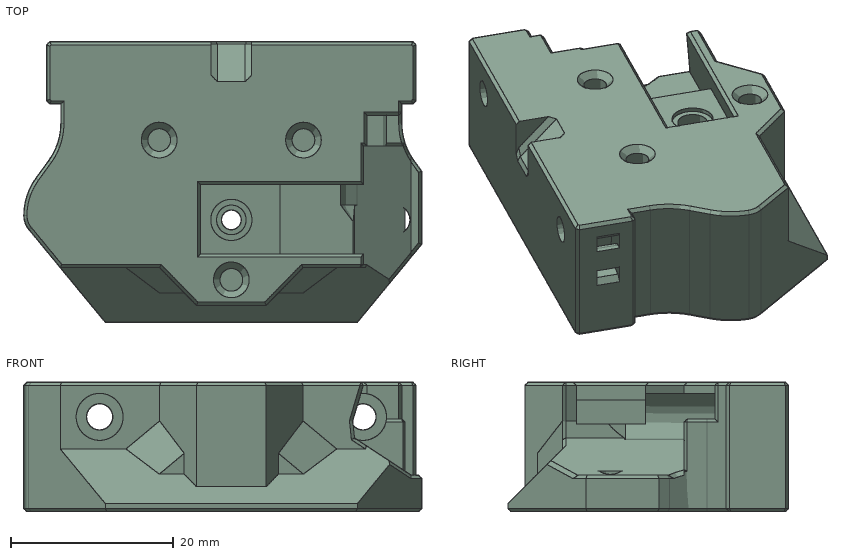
import cadquery as cq
import math

HEIGHT = 15.98
DEPTH = 34.64
FRONT_Y = -DEPTH
EDGE_CHAMFER = 0.4

BACK_HALF_WIDTH = 22.8
BACK_LENGTH = 7.7
NECK_HALF_WIDTH = 21.05
NECK_END_Y = -10.1
BELLY_HALF_WIDTH = 25.62
FLARE_RADIUS = 7.8
FLARE_ANGLE = math.radians(36.0)
CHIN_RADIUS = 2.7
CHIN_ANGLE = math.radians(39.5)
RIGHT_SIDE_X = 23.5

FRONT_WALL_Y = -27.9
FRONT_LIP_HEIGHT = 1.0
APRON_TOP_Z = FRONT_LIP_HEIGHT + FRONT_WALL_Y - FRONT_Y
BOSS_FRONT_Y = -32.55
BOSS_FRONT_HALF_WIDTH = 4.3
BOSS_BASE_HALF_WIDTH = 8.85
GUSSET_CREASE_Z = 11.2
GUSSET_WALL_HALF_WIDTH = 13.0
GUSSET_FRONT_Y = -31.0
GUSSET_TIP_Z = 7.2

RECESS_BACK_Y = -12.9
RECESS_TOP_X = 16.4
RECESS_WAIST = (14.98, 11.2)
RECESS_FOOT = (15.2, 9.1)
RECESS_LEDGE = (22.2, 4.5)
STEP_NOTCH_X = 16.75
STEP_NOTCH_BACK_Y = -9.1
STEP_NOTCH_FLOOR_Z = 11.45

POCKET_LEFT_X = -3.8
POCKET_STEP_X = 6.0
POCKET_BACK_Y = -17.65
POCKET_FRONT_Y = -26.2
POCKET_SHALLOW_Z = 13.8
POCKET_DEEP_Z = 10.8

BOLT_X = 16.25
BOLT_Z = 11.7
BOLT_DIAMETER = 3.2
BOLT_HEAD_DIAMETER = 5.8
BOLT_SEAT_Y = -7.0
RIGHT_BORE_END_Y = -20.15
RIGHT_BORE_CONE_LENGTH = 4.3

TOP_HOLE_X = 8.9
TOP_HOLE_Y = -12.15
BOSS_HOLE_Y = -29.4
TOP_HOLE_DIAMETER = 2.8
TOP_HOLE_SINK_DIAMETER = 4.4
TOP_HOLE_DEPTH = 8.0

PIVOT_Y = -22.0
PIVOT_THROUGH_DIAMETER = 2.4
PIVOT_BORE_DIAMETER = 3.65
PIVOT_RIM_DIAMETER = 5.08
PIVOT_RIM_DEPTH = 0.5
PIVOT_BORE_DEPTH = 8.0

UNDERSIDE_BORE_X = 20.2
UNDERSIDE_BORE_DIAMETER = 3.65
UNDERSIDE_BORE_DEPTH = 5.0

CHANNEL_HALF_WIDTH = 2.5
CHANNEL_LENGTH = 4.95
CHANNEL_CORNER = 0.8
TIE_BACK_Y = -2.7
TIE_FRONT_Y = -5.6
TIE_Z = 10.55
TIE_INNER_RADIUS = 1.4
TIE_OUTER_RADIUS = 2.85
TIE_FLARE = 0.7

MARGIN = 5.0


def box_between(x_range, y_range, z_range):
    """Axis-aligned box spanning the three ranges."""
    size = [high - low for low, high in (x_range, y_range, z_range)]
    return cq.Workplane("XY").box(*size, centered=False).translate((x_range[0], y_range[0], z_range[0]))


def prism_along_y(points, back_y, front_y):
    """Extrude an XZ outline from back_y forward to front_y."""
    return cq.Workplane("XZ", origin=(0, back_y, 0)).polyline(points).close().extrude(back_y - front_y)


def cylinder_along_y(x, z, diameter, back_y, front_y):
    return cq.Workplane("XZ", origin=(x, back_y, z)).circle(diameter / 2).extrude(back_y - front_y)


def vertical_cylinder(x, y, diameter, low_z, high_z):
    return cq.Workplane("XY", origin=(x, y, low_z)).circle(diameter / 2).extrude(high_z - low_z)


def flare_points():
    """Right-hand side curve: concave arc, tangent line, convex arc, chin arc (start, middle, end)."""
    drop = FLARE_RADIUS * math.sin(FLARE_ANGLE)
    spread = FLARE_RADIUS * (1 - math.cos(FLARE_ANGLE))
    half_drop = FLARE_RADIUS * math.sin(FLARE_ANGLE / 2)
    half_spread = FLARE_RADIUS * (1 - math.cos(FLARE_ANGLE / 2))
    line_width = BELLY_HALF_WIDTH - NECK_HALF_WIDTH - 2 * spread
    belly_y = NECK_END_Y - 2 * drop - line_width / math.tan(FLARE_ANGLE)

    def chin_point(angle):
        x = BELLY_HALF_WIDTH - CHIN_RADIUS * (1 - math.cos(angle))
        return (x, belly_y - CHIN_RADIUS * math.sin(angle))

    chin_end = chin_point(CHIN_ANGLE)
    front_half_width = chin_end[0] - (chin_end[1] - FRONT_Y) * math.tan(CHIN_ANGLE)
    return [
        (NECK_HALF_WIDTH, NECK_END_Y),
        (NECK_HALF_WIDTH + half_spread, NECK_END_Y - half_drop),
        (NECK_HALF_WIDTH + spread, NECK_END_Y - drop),
        (BELLY_HALF_WIDTH - spread, belly_y + drop),
        (BELLY_HALF_WIDTH - half_spread, belly_y + half_drop),
        (BELLY_HALF_WIDTH, belly_y),
        chin_point(CHIN_ANGLE / 2),
        chin_end,
        (front_half_width, FRONT_Y),
    ]


def make_block():
    """Extruded plan outline with the right side trimmed and the underside edge chamfered."""
    neck, arc_mid, arc_end, line_end, belly_mid, belly, chin_mid, chin_end, front = flare_points()
    half = (
        cq.Workplane("XY")
        .moveTo(0, 0)
        .lineTo(BACK_HALF_WIDTH - EDGE_CHAMFER, 0)
        .lineTo(BACK_HALF_WIDTH, -EDGE_CHAMFER)
        .lineTo(BACK_HALF_WIDTH, EDGE_CHAMFER - BACK_LENGTH)
        .lineTo(BACK_HALF_WIDTH - EDGE_CHAMFER, -BACK_LENGTH)
        .lineTo(NECK_HALF_WIDTH, -BACK_LENGTH)
        .lineTo(*neck)
        .threePointArc(arc_mid, arc_end)
        .lineTo(*line_end)
        .threePointArc(belly_mid, belly)
        .threePointArc(chin_mid, chin_end)
        .lineTo(*front)
        .lineTo(0, FRONT_Y)
        .close()
        .extrude(HEIGHT)
    )
    block = half.union(half.mirror("YZ")).clean()
    beyond_right = box_between(
        (RIGHT_SIDE_X, BELLY_HALF_WIDTH + MARGIN), (FRONT_Y, 0), (-MARGIN, HEIGHT + MARGIN)
    )
    block = block.cut(beyond_right)
    return block.faces("<Z").edges().chamfer(EDGE_CHAMFER)


def make_front_cutter():
    """Space above the apron, leaving the boss and the gussets in its inner corners."""
    side = [
        (FRONT_WALL_Y, APRON_TOP_Z),
        (FRONT_Y - MARGIN, APRON_TOP_Z + FRONT_Y - MARGIN - FRONT_WALL_Y),
        (FRONT_Y - MARGIN, HEIGHT + MARGIN),
        (FRONT_WALL_Y, HEIGHT + MARGIN),
    ]
    cutter = (
        cq.Workplane("YZ", origin=(-BELLY_HALF_WIDTH, 0, 0))
        .polyline(side)
        .close()
        .extrude(2 * BELLY_HALF_WIDTH)
    )
    boss = (
        cq.Workplane("XY")
        .polyline([
            (-BOSS_BASE_HALF_WIDTH, FRONT_WALL_Y),
            (-BOSS_FRONT_HALF_WIDTH, BOSS_FRONT_Y),
            (BOSS_FRONT_HALF_WIDTH, BOSS_FRONT_Y),
            (BOSS_BASE_HALF_WIDTH, FRONT_WALL_Y),
        ])
        .close()
        .extrude(HEIGHT + 2 * MARGIN)
    )
    gusset = make_gusset()
    return cutter.cut(boss).cut(gusset).cut(gusset.mirror("YZ"))


def make_gusset():
    """Right-hand corner block under a sloping plane through the crease, wall and boss corners."""
    crease = cq.Vector(BOSS_BASE_HALF_WIDTH, FRONT_WALL_Y, GUSSET_CREASE_Z)
    wall_corner = cq.Vector(GUSSET_WALL_HALF_WIDTH, FRONT_WALL_Y, APRON_TOP_Z)
    boss_flank = (BOSS_BASE_HALF_WIDTH - BOSS_FRONT_HALF_WIDTH) / (FRONT_WALL_Y - BOSS_FRONT_Y)
    tip_x = BOSS_BASE_HALF_WIDTH - boss_flank * (FRONT_WALL_Y - GUSSET_FRONT_Y)
    tip = cq.Vector(tip_x, GUSSET_FRONT_Y, GUSSET_TIP_Z)
    normal = (tip - crease).cross(wall_corner - crease)
    slope = cq.Plane(origin=crease, xDir=wall_corner - crease, normal=normal)
    reach = 2 * DEPTH
    above_slope = cq.Workplane(slope).rect(reach, reach).extrude(reach)
    corner = box_between((0, GUSSET_WALL_HALF_WIDTH), (GUSSET_FRONT_Y, FRONT_WALL_Y), (0, HEIGHT))
    return corner.cut(above_slope)


def make_recess_cutter():
    """Undercut side recess with a sloping floor, and the shallower notch behind it."""
    waist_lean = (RECESS_TOP_X - RECESS_WAIST[0]) / (HEIGHT - RECESS_WAIST[1])
    outer_x = BELLY_HALF_WIDTH + MARGIN
    profile = [
        (RECESS_TOP_X + waist_lean * MARGIN, HEIGHT + MARGIN),
        RECESS_WAIST,
        RECESS_FOOT,
        RECESS_LEDGE,
        (outer_x, RECESS_LEDGE[1]),
        (outer_x, HEIGHT + MARGIN),
    ]
    recess = prism_along_y(profile, RECESS_BACK_Y, FRONT_Y - MARGIN)
    notch = box_between(
        (STEP_NOTCH_X, outer_x),
        (RECESS_BACK_Y, STEP_NOTCH_BACK_Y),
        (STEP_NOTCH_FLOOR_Z, HEIGHT + MARGIN),
    )
    return recess.union(notch)


def make_pocket_cutter():
    """Two-level pocket opening into the side recess."""
    profile = [
        (POCKET_LEFT_X, HEIGHT + MARGIN),
        (POCKET_LEFT_X, POCKET_SHALLOW_Z),
        (POCKET_STEP_X, POCKET_SHALLOW_Z),
        (POCKET_STEP_X, POCKET_DEEP_Z),
        (RECESS_TOP_X + MARGIN, POCKET_DEEP_Z),
        (RECESS_TOP_X + MARGIN, HEIGHT + MARGIN),
    ]
    return prism_along_y(profile, POCKET_BACK_Y, POCKET_FRONT_Y)


def make_bolt_holes():
    """Lengthwise bolt holes; the left head bore is open at the front, the right one ends in a cone."""
    holes = cylinder_along_y(-BOLT_X, BOLT_Z, BOLT_HEAD_DIAMETER, BOLT_SEAT_Y, FRONT_Y)
    right_bore = cylinder_along_y(BOLT_X, BOLT_Z, BOLT_HEAD_DIAMETER, BOLT_SEAT_Y, RIGHT_BORE_END_Y)
    cone = cq.Solid.makeCone(
        BOLT_HEAD_DIAMETER / 2,
        0,
        RIGHT_BORE_CONE_LENGTH,
        pnt=cq.Vector(BOLT_X, RIGHT_BORE_END_Y, BOLT_Z),
        dir=cq.Vector(0, -1, 0),
    )
    holes = holes.union(right_bore).union(cq.Workplane(cone))
    for x in (-BOLT_X, BOLT_X):
        holes = holes.union(cylinder_along_y(x, BOLT_Z, BOLT_DIAMETER, MARGIN, BOLT_SEAT_Y))
    return holes


def make_top_hole(x, y):
    """Blind hole from the top with a 45-degree countersink."""
    sink_depth = (TOP_HOLE_SINK_DIAMETER - TOP_HOLE_DIAMETER) / 2
    hole = vertical_cylinder(x, y, TOP_HOLE_DIAMETER, HEIGHT - TOP_HOLE_DEPTH, HEIGHT)
    sink = cq.Solid.makeCone(
        TOP_HOLE_DIAMETER / 2,
        TOP_HOLE_SINK_DIAMETER / 2,
        sink_depth,
        pnt=cq.Vector(x, y, HEIGHT - sink_depth),
    )
    return hole.union(cq.Workplane(sink))


def make_pivot_hole():
    """Stepped hole through the shallow pocket floor."""
    top = POCKET_SHALLOW_Z
    rim = vertical_cylinder(0, PIVOT_Y, PIVOT_RIM_DIAMETER, top - PIVOT_RIM_DEPTH, top)
    bore = vertical_cylinder(0, PIVOT_Y, PIVOT_BORE_DIAMETER, top - PIVOT_BORE_DEPTH, top)
    through = vertical_cylinder(0, PIVOT_Y, PIVOT_THROUGH_DIAMETER, 0, top)
    return rim.union(bore).union(through)


def make_back_channel():
    """Channel running down at 45 degrees from the top to the back face, with beveled floor corners."""
    inner_half_width = CHANNEL_HALF_WIDTH - CHANNEL_CORNER
    mouth = [
        (-CHANNEL_HALF_WIDTH, MARGIN),
        (-CHANNEL_HALF_WIDTH, CHANNEL_CORNER - CHANNEL_LENGTH),
        (-inner_half_width, -CHANNEL_LENGTH),
        (inner_half_width, -CHANNEL_LENGTH),
        (CHANNEL_HALF_WIDTH, CHANNEL_CORNER - CHANNEL_LENGTH),
        (CHANNEL_HALF_WIDTH, MARGIN),
    ]
    outline = cq.Wire.makePolygon([cq.Vector(x, y, HEIGHT) for x, y in mouth], close=True)
    face = cq.Face.makeFromWires(outline)
    run = CHANNEL_LENGTH + MARGIN
    return cq.Workplane(cq.Solid.extrudeLinear(face, cq.Vector(0, run, -run)))


def make_tie_loop():
    """U-shaped passage that enters and leaves the left side of the back section through flared mouths."""
    side_x = -BACK_HALF_WIDTH
    bend_x = side_x + TIE_FLARE
    mouth_half_height = TIE_OUTER_RADIUS + TIE_FLARE
    width = TIE_BACK_Y - TIE_FRONT_Y
    plane = cq.Workplane("XZ", origin=(0, TIE_BACK_Y, TIE_Z))
    outer = (
        plane.moveTo(side_x, mouth_half_height)
        .lineTo(bend_x, TIE_OUTER_RADIUS)
        .threePointArc((bend_x + TIE_OUTER_RADIUS, 0), (bend_x, -TIE_OUTER_RADIUS))
        .lineTo(side_x, -mouth_half_height)
        .close()
        .extrude(width)
    )
    inner = (
        plane.moveTo(side_x, TIE_INNER_RADIUS)
        .lineTo(bend_x, TIE_INNER_RADIUS)
        .threePointArc((bend_x + TIE_INNER_RADIUS, 0), (bend_x, -TIE_INNER_RADIUS))
        .lineTo(side_x, -TIE_INNER_RADIUS)
        .close()
        .extrude(width)
    )
    return outer.cut(inner)


def edges_in_box(solid, x_range, y_range, z_range):
    """Edges whose centres lie inside the box."""
    low, high = zip(x_range, y_range, z_range)
    return solid.edges(cq.selectors.BoxSelector(low, high)).vals()


def make_floor_rim_cutter(block, start, end, limit_x):
    """Bevel where the recess floor through start and end (XZ) meets the outer sides of the block."""
    slope = (end[1] - start[1]) / (end[0] - start[0])
    far_left = -2 * BELLY_HALF_WIDTH
    far_right = 2 * BELLY_HALF_WIDTH
    left_z = start[1] + slope * (far_left - start[0])
    right_z = start[1] + slope * (far_right - start[0])
    ceiling = max(left_z, HEIGHT) + MARGIN
    above_floor = prism_along_y(
        [(far_left, left_z), (far_right, right_z), (far_right, ceiling), (far_left, ceiling)],
        MARGIN,
        FRONT_Y - MARGIN,
    )
    lower_part = block.cut(above_floor)
    normal = cq.Vector(-slope, 0, 1)
    floor_edges = lower_part.faces(cq.selectors.DirectionMinMaxSelector(normal, True)).edges()
    beveled = floor_edges.chamfer(EDGE_CHAMFER)
    zone = box_between(limit_x, (FRONT_Y, RECESS_BACK_Y), (2 * EDGE_CHAMFER, HEIGHT))
    return zone.cut(above_floor).cut(beveled)


def bevel_top_edges(solid):
    """Chamfer the top outline, the front edge of the recess wall and the notch edges together."""
    wall_front = edges_in_box(
        solid,
        (RECESS_WAIST[0], RECESS_TOP_X + EDGE_CHAMFER),
        (FRONT_WALL_Y - EDGE_CHAMFER, FRONT_WALL_Y + EDGE_CHAMFER),
        (APRON_TOP_Z + EDGE_CHAMFER, HEIGHT - EDGE_CHAMFER),
    )
    notch_floor_front = edges_in_box(
        solid,
        (STEP_NOTCH_X + EDGE_CHAMFER, NECK_HALF_WIDTH),
        (RECESS_BACK_Y - EDGE_CHAMFER, RECESS_BACK_Y + EDGE_CHAMFER),
        (STEP_NOTCH_FLOOR_Z - EDGE_CHAMFER, STEP_NOTCH_FLOOR_Z + EDGE_CHAMFER),
    )
    riser_middle_z = (RECESS_LEDGE[1] + STEP_NOTCH_FLOOR_Z) / 2
    notch_outer = edges_in_box(
        solid,
        (NECK_HALF_WIDTH - EDGE_CHAMFER, RECESS_LEDGE[0]),
        (RECESS_BACK_Y - EDGE_CHAMFER, STEP_NOTCH_BACK_Y + EDGE_CHAMFER),
        (riser_middle_z - EDGE_CHAMFER, HEIGHT - EDGE_CHAMFER),
    )
    top = solid.faces(">Z").edges().vals()
    return solid.newObject(top + wall_front + notch_floor_front + notch_outer).chamfer(EDGE_CHAMFER)


def bevel_channel_mouth(solid):
    """Chamfer the lower edges where the channel leaves the back face."""
    lower_edges = edges_in_box(
        solid,
        (-CHANNEL_HALF_WIDTH, CHANNEL_HALF_WIDTH),
        (-EDGE_CHAMFER / 2, EDGE_CHAMFER / 2),
        (HEIGHT - CHANNEL_LENGTH - EDGE_CHAMFER, HEIGHT - CHANNEL_LENGTH + CHANNEL_CORNER),
    )
    return solid.newObject(lower_edges).chamfer(EDGE_CHAMFER)


block = make_block()
body = block.cut(make_front_cutter()).cut(make_recess_cutter()).cut(make_pocket_cutter())
body = bevel_top_edges(body)
body = body.cut(make_floor_rim_cutter(block, RECESS_FOOT, RECESS_LEDGE, (RECESS_FOOT[0], RECESS_LEDGE[0])))
body = body.cut(make_floor_rim_cutter(
    block, RECESS_LEDGE, (RIGHT_SIDE_X, RECESS_LEDGE[1]), (RECESS_LEDGE[0], RIGHT_SIDE_X)
))
body = body.cut(make_bolt_holes())
for hole_x, hole_y in ((-TOP_HOLE_X, TOP_HOLE_Y), (TOP_HOLE_X, TOP_HOLE_Y), (0, BOSS_HOLE_Y)):
    body = body.cut(make_top_hole(hole_x, hole_y))
body = body.cut(make_pivot_hole())
body = body.cut(
    vertical_cylinder(UNDERSIDE_BORE_X, PIVOT_Y, UNDERSIDE_BORE_DIAMETER, 0, UNDERSIDE_BORE_DEPTH)
)
body = bevel_channel_mouth(body.cut(make_back_channel()))
result = body.cut(make_tie_loop())